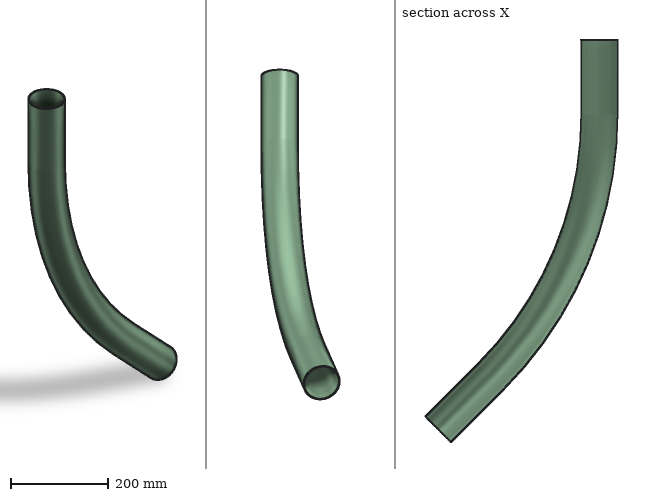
import cadquery as cq
import math

outer_diameter = 76.0
inner_diameter = 72.0
straight_length = 153.0
bend_angle = 45.0
overall_height = 826.0

angle = math.radians(bend_angle)
half_angle = angle / 2

tails_height = straight_length * (1 + math.cos(angle))
foot_rim_drop = outer_diameter / 2 * math.sin(angle)
bend_height = overall_height - tails_height - foot_rim_drop
bend_radius = bend_height / math.sin(angle)


def point_on_bend(turn):
    """Axis point (Y, Z) after turning by the given angle from the upper end of the bend."""
    return (
        bend_radius * (1 - math.cos(turn)),
        -bend_radius * math.sin(turn),
    )


bend_start = point_on_bend(0)
bend_middle = point_on_bend(half_angle)
bend_end = point_on_bend(angle)
top_end = (0, straight_length)
foot_end = (
    bend_end[0] + straight_length * math.sin(angle),
    bend_end[1] - straight_length * math.cos(angle),
)

tube_axis = (
    cq.Workplane("YZ")
    .moveTo(*top_end)
    .lineTo(*bend_start)
    .threePointArc(bend_middle, bend_end)
    .lineTo(*foot_end)
)

result = (
    cq.Workplane("XY", origin=(0, 0, straight_length))
    .circle(outer_diameter / 2)
    .circle(inner_diameter / 2)
    .sweep(tube_axis)
)